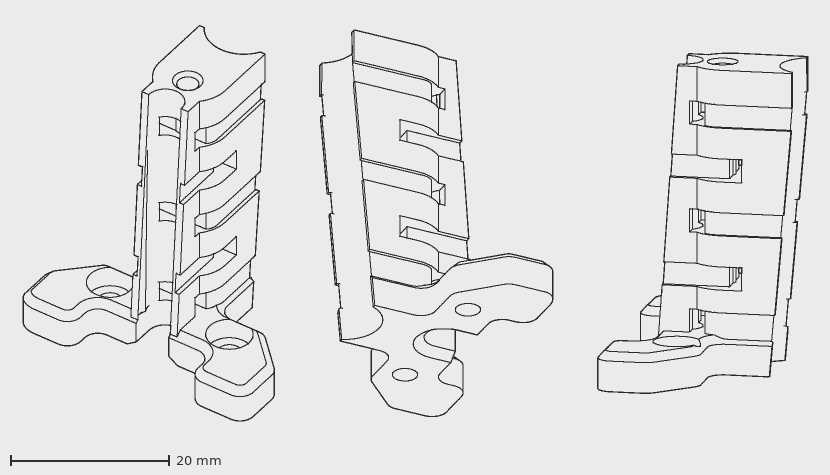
import cadquery as cq
import math


height = 39.5
column_half_width = 5.035
column_back = 9.95
nose_center_y = 1.0
wing_half_width = 3.55
front_tilt = 4.0
front_top_y = -5.1

back_tilt = 5.0
back_foot_y = 7.07
scallop_radius = 5.0
scallop_axis_offset = 2.0

base_height = 5.0
base_chamfer = 1.03
outline_radius = 2.0
foot_outer_x = 17.5
foot_inner_x = 9.0
foot_front_y = -12.88
bridge_front_y = -7.9
base_back_y = -0.47
foot_bevel = 5.4
broad_corner_width = 2.75
broad_corner_depth = 2.0
foot_hole_x = 9.15
foot_hole_y = -4.03
foot_hole_diameter = 3.2
counterbore_diameter = 6.0
counterbore_depth = 3.0

channel_radius = 2.5
channel_center_y = -5.05
flare_width = 1.4
flare_height = 0.95

screw_diameter = 2.8
countersink_diameter = 3.87
countersink_angle = 90
screw_depth = height - base_height

groove_height = 3.0
rear_groove_tops = (35.0, 21.0)
lowest_groove_top = 8.0
front_groove_tops = (28.0, 14.0)
groove_reach = 3.5
core_flat = 1.5
rear_core_half_width = 4.5
rear_core_radius = 2.0
front_core_half_width = 2.92
screw_boss_radius = 1.7

clear = 23.7


def block(x_half, y_start, y_end, z_start, z_end):
    """Box centred on x = 0 between the given y and z limits."""
    box = cq.Workplane("XY").box(2 * x_half, y_end - y_start, z_end - z_start, centered=(True, False, False))
    return box.translate((0, y_start, z_start))


def cylinder(radius, center_y, z_start, z_end):
    """Vertical cylinder with its axis on x = 0."""
    return cq.Workplane("XY", origin=(0, center_y, z_start)).circle(radius).extrude(z_end - z_start)


def broad_corner_waste():
    """Material outside the elliptical rounding at the front outer corner of the -X foot."""
    center_x = -foot_outer_x + broad_corner_width
    center_y = foot_front_y + broad_corner_depth
    corner = (
        cq.Workplane("XY", origin=(-foot_outer_x, foot_front_y))
        .rect(broad_corner_width, broad_corner_depth, centered=False)
        .extrude(base_height)
    )
    rounding = (
        cq.Workplane("XY", origin=(center_x, center_y))
        .ellipse(broad_corner_width, broad_corner_depth)
        .extrude(base_height)
    )
    return corner.cut(rounding)


def make_base():
    """Plate with two feet, rounded outline and chamfered top edge."""
    half_outline = [
        (foot_inner_x, bridge_front_y),
        (foot_inner_x, foot_front_y),
        (foot_outer_x, foot_front_y),
        (foot_outer_x, base_back_y - foot_bevel),
        (foot_outer_x - foot_bevel, base_back_y),
        (column_half_width, base_back_y),
    ]
    mirrored = [(-x, y) for x, y in half_outline]
    broad_corner = (-foot_outer_x, foot_front_y)
    back_corners = [(column_half_width, column_back), (-column_half_width, column_back)]
    outline = half_outline + back_corners + mirrored[::-1]
    base = cq.Workplane("XY").polyline(outline).close().extrude(base_height)
    for x, y in half_outline + mirrored:
        if (x, y) != broad_corner:
            corner = cq.selectors.NearestToPointSelector((x, y, base_height / 2))
            base = base.edges("|Z").edges(corner).fillet(outline_radius)
    base = base.cut(broad_corner_waste())
    return base.faces(">Z").edges().chamfer(base_chamfer)


def make_column():
    """Upright with a rounded nose, narrow wings beside the channel and a sloping front."""
    nose = cylinder(column_half_width, nose_center_y, 0, height)
    body = block(column_half_width, nose_center_y, column_back, 0, height)
    wings = block(wing_half_width, bridge_front_y, nose_center_y, 0, height)
    front_foot_y = front_top_y - height * math.tan(math.radians(front_tilt))
    side_outline = [
        (front_foot_y, 0),
        (front_top_y, height),
        (column_back, height),
        (column_back, 0),
    ]
    side_profile = cq.Workplane("YZ").polyline(side_outline).close().extrude(clear, both=True)
    return nose.union(body).union(wings).intersect(side_profile)


def rear_groove(z_bottom, z_top):
    """Groove around the sides and front of a rear core with rounded front corners."""
    corner_x = rear_core_half_width - rear_core_radius
    tip_x = corner_x + math.sqrt(rear_core_radius**2 - core_flat**2)
    half_core = (
        cq.Workplane("XY", origin=(0, 0, z_bottom))
        .moveTo(rear_core_half_width, 0)
        .radiusArc((tip_x, -core_flat), rear_core_radius)
        .lineTo(0, -core_flat)
        .lineTo(0, clear)
        .lineTo(rear_core_half_width, clear)
        .close()
        .extrude(z_top - z_bottom)
    )
    boss = cylinder(screw_boss_radius, 0, z_bottom, z_top)
    core = half_core.union(half_core.mirror("YZ")).union(boss)
    return block(clear, -groove_reach, clear, z_bottom, z_top).cut(core)


def front_groove(z_bottom, z_top):
    """Groove around the sides and back of a front core."""
    core = block(front_core_half_width, -clear, core_flat, z_bottom, z_top)
    boss = cylinder(screw_boss_radius, 0, z_bottom, z_top)
    return block(clear, -clear, groove_reach, z_bottom, z_top).cut(core.union(boss))


def back_cutter():
    """Sloping space behind the column: everything behind a plane, plus the scallop cylinder."""
    behind = block(clear, 0, clear, -height, 2 * height)
    scallop = cylinder(scallop_radius, scallop_axis_offset, -height, 2 * height)
    cutter = behind.union(scallop)
    return cutter.rotate((0, 0, 0), (1, 0, 0), -back_tilt).translate((0, back_foot_y, 0))


def channel_cutter():
    """Upright bore, a second bore leaning with the front, and a flared slot through the base."""
    bore = cylinder(channel_radius, channel_center_y, 0, height)
    leaning_bore = cylinder(channel_radius, 0, -2 * height, height)
    leaning_bore = leaning_bore.rotate((0, 0, 0), (1, 0, 0), -front_tilt)
    leaning_bore = leaning_bore.translate((0, channel_center_y, height))
    base_slot = block(channel_radius, -clear, channel_center_y, 0, base_height)

    mouth_radius = channel_radius + flare_width
    cone = cq.Workplane(cq.Solid.makeCone(mouth_radius, channel_radius, flare_height))
    cone = cone.translate((0, channel_center_y, 0))
    flare_outline = [
        (-mouth_radius, 0),
        (mouth_radius, 0),
        (channel_radius, flare_height),
        (-channel_radius, flare_height),
    ]
    flare = (
        cq.Workplane("XZ", origin=(0, channel_center_y, 0))
        .polyline(flare_outline)
        .close()
        .extrude(clear)
    )
    return bore.union(leaning_bore).union(base_slot).union(cone).union(flare)


column = make_column()
for top in rear_groove_tops:
    column = column.cut(rear_groove(top - groove_height, top))
for top in front_groove_tops:
    column = column.cut(front_groove(top - groove_height, top))
column = column.cut(rear_groove(base_height - base_chamfer, lowest_groove_top))

result = make_base().union(column).cut(back_cutter()).cut(channel_cutter())

for x in (foot_hole_x, -foot_hole_x):
    hole_top = cq.Workplane("XY", origin=(x, foot_hole_y, base_height))
    result = result.cut(hole_top.circle(foot_hole_diameter / 2).extrude(-base_height))
    result = result.cut(hole_top.circle(counterbore_diameter / 2).extrude(-counterbore_depth))

result = (
    result.faces(">Z")
    .workplane(origin=(0, 0, height))
    .cskHole(screw_diameter, countersink_diameter, countersink_angle, screw_depth)
)